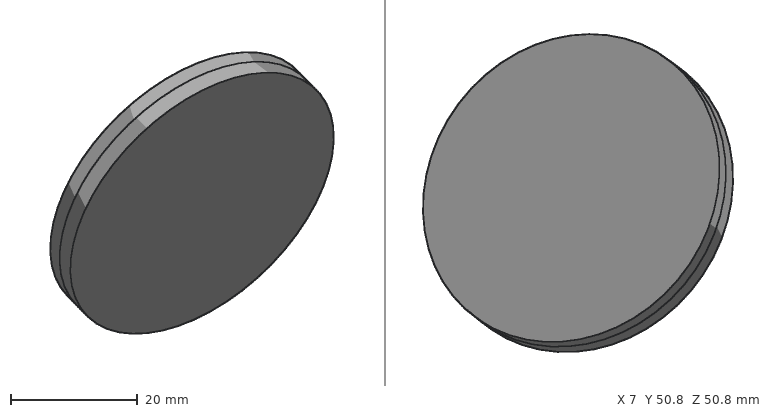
import cadquery as cq

LENS_DIAMETER = 50.8
FRONT_EDGE_THICKNESS = 2.6
BACK_EDGE_THICKNESS = 2.95
FRONT_DOME_HEIGHT = 1.1
BACK_DOME_HEIGHT = 0.35

LENS_RADIUS = LENS_DIAMETER / 2


def dome_radius(dome_height):
    """Radius of the sphere that rises by dome_height across the lens diameter."""
    return (LENS_RADIUS**2 + dome_height**2) / (2 * dome_height)


def plano_convex_element(edge_thickness, dome_height, direction):
    """Lens with a flat face at X = 0 and a spherical face toward direction (-1 or +1) in X."""
    rim_x = direction * edge_thickness
    apex_x = direction * (edge_thickness + dome_height)
    sphere_radius = dome_radius(dome_height)
    sphere_center_x = apex_x - direction * sphere_radius

    middle_z = LENS_RADIUS / 2
    middle_x = sphere_center_x + direction * (sphere_radius**2 - middle_z**2) ** 0.5

    return (
        cq.Workplane("XZ")
        .moveTo(0, 0)
        .lineTo(0, LENS_RADIUS)
        .lineTo(rim_x, LENS_RADIUS)
        .threePointArc((middle_x, middle_z), (apex_x, 0))
        .close()
        .revolve(360, (0, 0, 0), (1, 0, 0))
    )


front_element = plano_convex_element(FRONT_EDGE_THICKNESS, FRONT_DOME_HEIGHT, -1)
back_element = plano_convex_element(BACK_EDGE_THICKNESS, BACK_DOME_HEIGHT, 1)

result = cq.Compound.makeCompound([front_element.val(), back_element.val()])